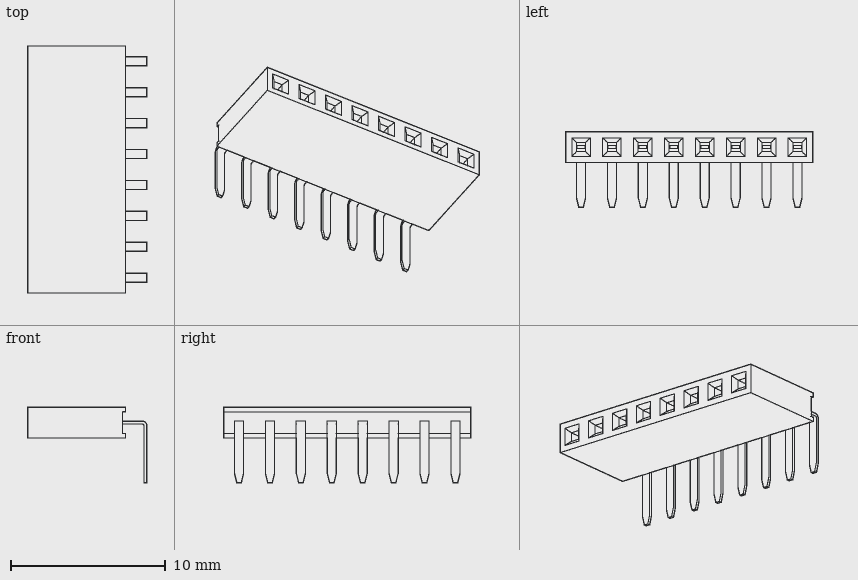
import cadquery as cq

positions = 8
pitch = 2.0

body_length = 6.35
body_width = positions * pitch
body_height = 2.0
lip_depth = 0.2
lip_thickness = 0.3

mouth_size = 1.2
bore_size = 0.6
funnel_depth = 0.3
bore_end_depth = 4.0
blade_width = 0.5
blade_length = 1.0

pin_thickness = 0.2
pin_width = 0.6
pin_end_x = 7.72
pin_bottom_z = -3.9
bend_radius = 0.3
tip_length = 0.6
tip_width = 0.3
pin_embedment = 0.5

body_back_x = body_length - lip_depth
pin_top_z = pin_thickness / 2
pin_root_x = body_back_x - pin_embedment
row_y = [(i - (positions - 1) / 2) * pitch for i in range(positions)]


def make_housing():
    """Rectangular housing with a full-width channel in its rear face."""
    body = cq.Workplane("XY").box(body_length, body_width, body_height, centered=(False, True, True))
    channel = cq.Workplane("XY").box(
        lip_depth, body_width, body_height - 2 * lip_thickness, centered=(False, True, True)
    )
    return body.cut(channel.translate((body_back_x, 0, 0)))


def make_socket(y):
    """Square funnel leading into a blind square bore."""
    funnel = (
        cq.Workplane("YZ")
        .center(y, 0)
        .rect(mouth_size, mouth_size)
        .workplane(offset=funnel_depth)
        .rect(bore_size, bore_size)
        .loft(ruled=True)
    )
    bore = (
        cq.Workplane("YZ", origin=(funnel_depth, y, 0))
        .rect(bore_size, bore_size)
        .extrude(bore_end_depth - funnel_depth)
    )
    return funnel.union(bore)


def make_blade(y):
    """Flat contact blade standing on the floor of a bore."""
    return (
        cq.Workplane("YZ", origin=(bore_end_depth, y, 0))
        .rect(blade_width, pin_thickness)
        .extrude(-blade_length)
    )


def make_pin(y):
    """Flat pin leaving the rear face, bent downward and ending in a tapered tip."""
    inner_radius = bend_radius - pin_thickness
    strip = (
        cq.Workplane("XZ", origin=(0, y, 0))
        .moveTo(pin_root_x, pin_top_z)
        .lineTo(pin_end_x - bend_radius, pin_top_z)
        .radiusArc((pin_end_x, pin_top_z - bend_radius), bend_radius)
        .lineTo(pin_end_x, pin_bottom_z)
        .lineTo(pin_end_x - pin_thickness, pin_bottom_z)
        .lineTo(pin_end_x - pin_thickness, pin_top_z - bend_radius)
        .radiusArc((pin_end_x - bend_radius, pin_top_z - pin_thickness), -inner_radius)
        .lineTo(pin_root_x, pin_top_z - pin_thickness)
        .close()
        .extrude(pin_width / 2, both=True)
    )
    taper_top_z = pin_bottom_z + tip_length
    front_outline = (
        cq.Workplane("YZ", origin=(pin_root_x, y, 0))
        .polyline([
            (-pin_width / 2, pin_top_z),
            (pin_width / 2, pin_top_z),
            (pin_width / 2, taper_top_z),
            (tip_width / 2, pin_bottom_z),
            (-tip_width / 2, pin_bottom_z),
            (-pin_width / 2, taper_top_z),
        ])
        .close()
        .extrude(pin_end_x - pin_root_x)
    )
    return strip.intersect(front_outline)


result = make_housing()
for y in row_y:
    result = result.cut(make_socket(y)).union(make_blade(y)).union(make_pin(y))